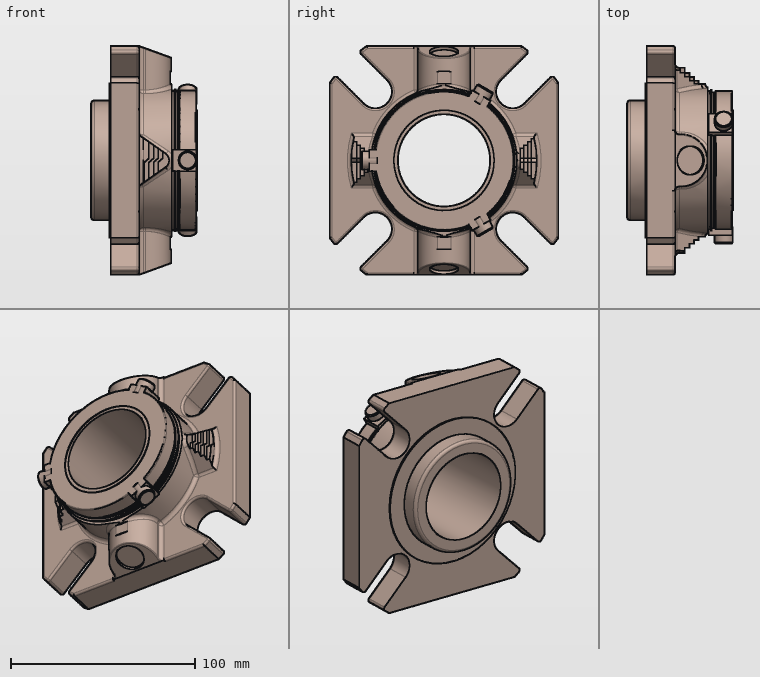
import cadquery as cq
import math

TAIL_END = 0.0
DISC_BACK = 9.8
PLATE_BACK = 10.7
PLATE_FRONT = 26.1
HOUSING_END = 43.9
RIM_END = 45.2
SLINGER_START = 45.5
SLINGER_END = 46.2
GAP_START = 47.2
SHOULDER_END = 47.5
COLLAR_START = 48.0
COLLAR_END = 57.3
RING_END = 57.6

BORE_DIA = 50.0
RING_DIA = 54.5
SHOULDER_DIA = 55.0
TAIL_DIA = 65.2
RIM_DIA = 75.7
SLINGER_DIA = 77.2
DISC_DIA = 84.0
HOUSING_DIA = 79.2
GROOVE_DIA = 72.2
SEAL_DIA = 74.4
TAIL_FILLET = 1.7
COLLAR_FILLET = 0.5

PLATE_HALF = 62.2
SLOT_CENTER = 37.3
SLOT_RADIUS = 9.0
SLOT_LENGTH = 49.8
EDGE_HALF = 42.1
TIP_SETBACK = 2.2
TIP_RISE = 3.0
TIP_FILLET = 1.5
PLATE_FILLET = 1.2

ROOT_BACK = 24.9
BLANK_HALF = 74.7
SLAB_HALF = 124.5
BLEND_RADIUS = 2.2

BOSS_RADIUS = 14.2
BOSS_CENTER = 29.5
BOSS_INNER = 31.1
BOSS_SLOPE = 20.0
BOSS_EDGE_FILLET = 0.5
NOTCH_START = 43.2
NOTCH_INNER_DIA = 83.4
NOTCH_OUTER_DIA = 96.8
RECESS_DIA = 15.5
RECESS_DEPTH = 1.9
RECESS_CENTER = 34.6

WEDGE_NOSE_RADIUS = 4.6
WEDGE_NOSE_CENTER = 37.8
WEDGE_SLOPE = 35.0
WEDGE_INNER = 31.1
STEP_LENGTH = 2.5
FIRST_STEP = 31.5
WEDGE_OUTER_RADIUS = 50.4
STEP_HEIGHTS = (47.5, 45.4, 43.3, 41.6)
JOG_HALF = 1.1
CUTTER_HALF_WIDTH = 17.4

LUG_COUNT = 3
LUG_START = 44.4
LUG_WIDTH = 11.6
LUG_INNER = 36.2
LUG_OUTER = 40.7
SCREW_DIA = 10.0
SCREW_X = 52.5
SCREW_TIP = 45.2
SCREW_CHAMFER = 0.6

TOLERANCE = 0.06


def disc(diameter, start, end):
    """Cylinder on the X axis."""
    return cq.Workplane("YZ").workplane(offset=start).circle(diameter / 2).extrude(end - start)


def on_both_sides(body):
    """The body joined with its copy turned half a turn about X."""
    return body.union(body.rotate((0, 0, 0), (1, 0, 0), 180))


def make_plate():
    """Square flange with sloped corners, each opened by a diagonal slot."""
    corner = EDGE_HALF + (PLATE_HALF - EDGE_HALF) * TIP_RISE / (TIP_SETBACK + TIP_RISE)
    outline = []
    for turn in range(4):
        angle = math.radians(90 * turn)
        for y, z in ((PLATE_HALF, EDGE_HALF), (corner, corner), (EDGE_HALF, PLATE_HALF)):
            outline.append((y * math.cos(angle) - z * math.sin(angle),
                            y * math.sin(angle) + z * math.cos(angle)))
    thickness = PLATE_FRONT - PLATE_BACK
    plate = cq.Workplane("YZ").workplane(offset=PLATE_BACK).polyline(outline).close().extrude(thickness)
    slot = (
        cq.Workplane("YZ").workplane(offset=PLATE_BACK)
        .center(SLOT_CENTER * math.sqrt(2), 0)
        .circle(SLOT_RADIUS)
        .extrude(thickness)
    )
    slot = slot.union(
        cq.Workplane("YZ").workplane(offset=PLATE_BACK)
        .center(SLOT_CENTER * math.sqrt(2) + SLOT_LENGTH / 2, 0)
        .rect(SLOT_LENGTH, 2 * SLOT_RADIUS)
        .extrude(thickness)
    )
    for turn in range(4):
        plate = plate.cut(slot.rotate((0, 0, 0), (1, 0, 0), 45 + 90 * turn))

    def at_tip(edge):
        middle = edge.Center()
        near, far = sorted((abs(middle.y), abs(middle.z)))
        return near > EDGE_HALF + TIP_RISE and far < PLATE_HALF - TIP_SETBACK / 2

    plate = plate.edges("|X").filter(at_tip).fillet(TIP_FILLET)
    return plate.faces(">X").edges().fillet(PLATE_FILLET)


def slope_plane(x):
    """Plane on the sloped boss face at position x, facing outward."""
    slope = math.radians(BOSS_SLOPE)
    return cq.Plane(
        origin=(x, 0, PLATE_HALF - math.tan(slope) * (x - PLATE_FRONT)),
        xDir=(0, 1, 0),
        normal=(math.sin(slope), 0, math.cos(slope)),
    )


def make_boss():
    """Round-nosed boss above the housing, still taller than finished."""
    return (
        cq.Workplane("XY").workplane(offset=BOSS_INNER)
        .moveTo(ROOT_BACK, -BOSS_RADIUS)
        .lineTo(BOSS_CENTER, -BOSS_RADIUS)
        .threePointArc((BOSS_CENTER + BOSS_RADIUS, 0), (BOSS_CENTER, BOSS_RADIUS))
        .lineTo(ROOT_BACK, BOSS_RADIUS)
        .close()
        .extrude(BLANK_HALF - BOSS_INNER)
    )


def make_boss_trim():
    """Material to remove above the sloped boss face."""
    cutter_width = 4 * BOSS_RADIUS
    return (
        cq.Workplane(slope_plane(PLATE_FRONT))
        .rect(cutter_width, 2 * PLATE_HALF)
        .extrude(PLATE_HALF)
    )


def make_recess():
    """Shallow round recess in the sloped boss face."""
    return cq.Workplane(slope_plane(RECESS_CENTER)).circle(RECESS_DIA / 2).extrude(-RECESS_DEPTH)


def make_wedge():
    """Plain wedge on the -Y side, rounded about the shaft axis on its outer face."""
    slope = math.radians(WEDGE_SLOPE)
    flank_x = WEDGE_NOSE_CENTER + WEDGE_NOSE_RADIUS * math.sin(slope)
    flank_z = WEDGE_NOSE_RADIUS * math.cos(slope)
    back_z = flank_z + (flank_x - ROOT_BACK) * math.tan(slope)
    return (
        cq.Workplane("XZ").workplane(offset=WEDGE_INNER)
        .moveTo(ROOT_BACK, -back_z)
        .lineTo(flank_x, -flank_z)
        .threePointArc((WEDGE_NOSE_CENTER + WEDGE_NOSE_RADIUS, 0), (flank_x, flank_z))
        .lineTo(ROOT_BACK, back_z)
        .close()
        .extrude(WEDGE_OUTER_RADIUS - WEDGE_INNER)
        .intersect(disc(2 * WEDGE_OUTER_RADIUS, ROOT_BACK, HOUSING_END))
    )


def make_step_cutter():
    """Material above the wedge steps; below the axis each step ends one step further back."""
    cutter = cq.Workplane("XZ")
    for index, height in enumerate(STEP_HEIGHTS):
        step_x = FIRST_STEP + index * STEP_LENGTH
        beyond_step = (
            cq.Workplane("XZ").workplane(offset=height)
            .moveTo(step_x, CUTTER_HALF_WIDTH)
            .lineTo(step_x, JOG_HALF)
            .lineTo(step_x - STEP_LENGTH, -JOG_HALF)
            .lineTo(step_x - STEP_LENGTH, -CUTTER_HALF_WIDTH)
            .lineTo(HOUSING_END, -CUTTER_HALF_WIDTH)
            .lineTo(HOUSING_END, CUTTER_HALF_WIDTH)
            .close()
            .extrude(WEDGE_OUTER_RADIUS - height)
        )
        cutter = cutter.union(beyond_step)
    return cutter


def make_nose_notch():
    """Ring that sets the lower part of both boss noses slightly back."""
    ring = disc(NOTCH_OUTER_DIA, NOTCH_START, HOUSING_END)
    return ring.cut(disc(NOTCH_INNER_DIA, NOTCH_START, HOUSING_END))


def make_housing():
    """Round housing with bosses and wedges, blended into each other and into the flange."""
    slab = (
        cq.Workplane("YZ").workplane(offset=ROOT_BACK)
        .rect(2 * SLAB_HALF, 2 * SLAB_HALF)
        .extrude(PLATE_FRONT - ROOT_BACK)
    )
    housing = (
        disc(HOUSING_DIA, ROOT_BACK, COLLAR_END)
        .union(slab)
        .union(on_both_sides(make_boss()))
        .union(on_both_sides(make_wedge()))
    )

    def at_joint(edge):
        middle = edge.positionAt(0.5)
        at_foot = abs(middle.x - PLATE_FRONT) < TOLERANCE
        inside = max(abs(middle.y), abs(middle.z)) < BLANK_HALF
        radius = math.hypot(middle.y, middle.z)
        on_wall = abs(radius - HOUSING_DIA / 2) < TOLERANCE and edge.geomType() != "LINE"
        return (at_foot and inside) or (on_wall and PLATE_FRONT < middle.x < HOUSING_END)

    housing = housing.edges().filter(at_joint).fillet(BLEND_RADIUS)

    outline = (
        cq.Workplane("YZ").workplane(offset=PLATE_FRONT)
        .rect(2 * PLATE_HALF, 2 * PLATE_HALF)
        .extrude(HOUSING_END - PLATE_FRONT)
    )
    roots = (
        cq.Workplane("YZ").workplane(offset=ROOT_BACK)
        .rect(2 * (BOSS_RADIUS + BLEND_RADIUS), 2 * PLATE_HALF)
        .extrude(PLATE_FRONT - ROOT_BACK)
    )
    housing = housing.intersect(outline.union(roots))
    housing = housing.cut(on_both_sides(make_boss_trim()))

    def at_boss_rim(edge):
        middle = edge.positionAt(0.5)
        slope = math.tan(math.radians(BOSS_SLOPE))
        face_height = PLATE_HALF - slope * (middle.x - PLATE_FRONT)
        return abs(abs(middle.z) - face_height) < TOLERANCE and middle.x > PLATE_FRONT + TOLERANCE

    housing = housing.edges().filter(at_boss_rim).fillet(BOSS_EDGE_FILLET)
    return (
        housing.cut(on_both_sides(make_recess()))
        .cut(on_both_sides(make_step_cutter()))
        .cut(make_nose_notch())
    )


def make_lug():
    """Flat lug on the -Y side bridging the gap to the collar, with its screw."""
    lug = (
        cq.Workplane("XZ").workplane(offset=LUG_INNER)
        .moveTo((LUG_START + COLLAR_END) / 2, 0)
        .rect(COLLAR_END - LUG_START, LUG_WIDTH)
        .extrude(LUG_OUTER - LUG_INNER)
    )
    screw = (
        cq.Workplane("XZ").workplane(offset=LUG_INNER)
        .center(SCREW_X, 0)
        .circle(SCREW_DIA / 2)
        .extrude(SCREW_TIP - LUG_INNER)
        .faces("<Y").chamfer(SCREW_CHAMFER)
    )
    return lug.union(screw)


def make_slinger():
    """Rim, groove and seal disc between the housing and the collar gap."""
    return (
        disc(RIM_DIA, HOUSING_END, RIM_END)
        .union(disc(GROOVE_DIA, RIM_END, GAP_START))
        .union(disc(SLINGER_DIA, SLINGER_START, SLINGER_END))
        .union(disc(SEAL_DIA, SLINGER_END, GAP_START))
    )


result = (
    disc(TAIL_DIA, TAIL_END, DISC_BACK).faces("<X").edges().fillet(TAIL_FILLET)
    .union(disc(DISC_DIA, DISC_BACK, PLATE_BACK))
    .union(make_plate())
    .union(make_housing())
    .union(make_slinger())
    .union(disc(SHOULDER_DIA, GAP_START, SHOULDER_END))
    .union(disc(RING_DIA, GAP_START, RING_END))
    .union(disc(RIM_DIA, COLLAR_START, COLLAR_END).edges().fillet(COLLAR_FILLET))
)
lug = make_lug()
for index in range(LUG_COUNT):
    result = result.union(lug.rotate((0, 0, 0), (1, 0, 0), index * 360 / LUG_COUNT))
result = result.cut(disc(BORE_DIA, TAIL_END, RING_END))